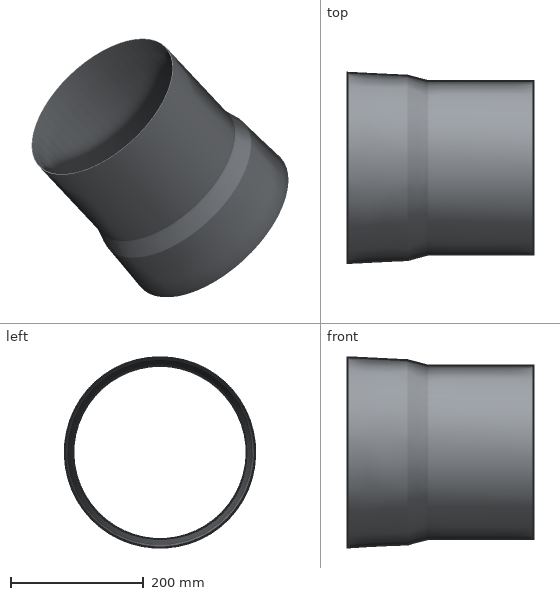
import cadquery as cq

total_length = 280.0
socket_length = 90.0
transition_length = 30.0
wall = 1.0

mouth_diameter = 287.0
socket_end_diameter = 278.0
pipe_diameter = 262.0

pipe_start = socket_length + transition_length

stations = [
    (0, mouth_diameter / 2),
    (socket_length, socket_end_diameter / 2),
    (pipe_start, pipe_diameter / 2),
    (total_length, pipe_diameter / 2),
]

inner_stations = [(x, radius - wall) for x, radius in stations]
wall_outline = stations + inner_stations[::-1]

result = (
    cq.Workplane("XZ")
    .polyline(wall_outline)
    .close()
    .revolve(360, (0, 0, 0), (1, 0, 0))
)